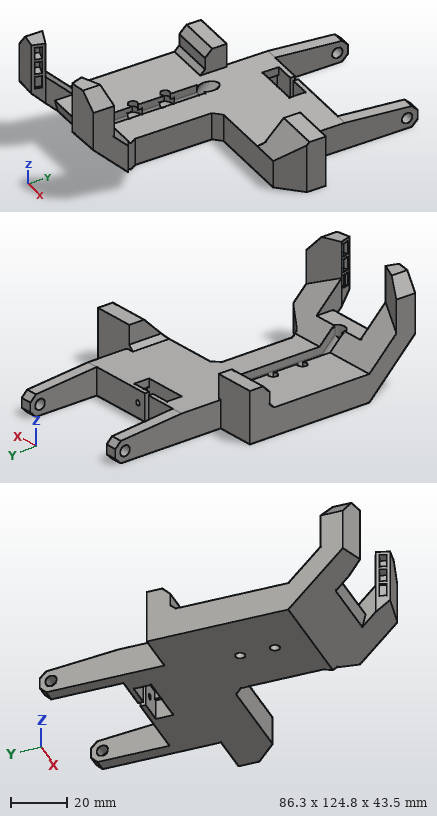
import cadquery as cq
import math


total_width = 86.3
total_length = 124.8
total_height = 43.5

plate_thickness = 11.3
ramp_start_y = 22.8
plate_back_y = 94.7
shoulder_y = 77.0
neck_left_x = 16.6
neck_right_x = 69.8
body_right_x = 40.3
finger_right_x = 51.3
flank_knee_x = 42.7
flank_knee_y = 21.5
inner_corner_chamfer = 3.0

bay_left_x = 13.2
bay_right_x = 38.1
bay_back_y = 16.3
bay_floor_z = 17.8
bay_lip_y = 8.7
bay_lip_lower_y = 10.0

clip_tip_x = 11.6
clip_outer_front_y = 1.9
clip_outer_back_y = 10.5
clip_inner_back_y = 4.9
clip_chamfer_width = 5.7
clip_chamfer_height = 6.6

pocket_width = 2.7
pocket_height = 5.0
pocket_pitch = 6.2
first_pocket_z = 27.3
pocket_depths = (1.0, 4.0, 4.0)

jaw_top_z = 21.1
jaw_foot_z = 13.3
left_jaw_width = 17.8
left_jaw_top_y = 71.0
left_jaw_face_y = 68.0
right_jaw_left_x = 68.5
right_jaw_front_y = 60.4
right_jaw_corner = 8.7

arm_width = 5.0
arm_tip_height = 8.9
arm_tip_chamfer = 2.5
arm_hole_diameter = 4.3
arm_hole_setback = 4.4
arm_hole_z = 4.4

slot_left_x = 27.4
slot_right_x = 46.0
slot_front_y = 86.0
slot_back_y = 92.7
slot_neck_left_x = 35.4
slot_neck_right_x = 37.5
slot_undercut = 1.1
slot_undercut_z = 7.9
pin_hole_diameter = 2.0
pin_hole_x = 41.5
pin_hole_z = 6.0

channel_x = 25.25
channel_radius = 3.0
channel_depth = 6.0
channel_front_y = 21.7
channel_back_y = 62.0
channel_end_y = 16.0

screw_x = 20.9
screw_ys = (36.4, 49.7)
screw_diameter = 3.6
screw_head_diameter = 6.6
screw_head_top_z = 9.0
screw_cone_top_z = 5.5


def box(x0, x1, y0, y1, z0, z1):
    return cq.Workplane("XY").box(x1 - x0, y1 - y0, z1 - z0, centered=False).translate((x0, y0, z0))


def side_prism(points, x0, x1):
    """Outline in (y, z) extruded from x0 to x1."""
    return cq.Workplane("YZ").polyline(points).close().extrude(x1 - x0).translate((x0, 0, 0))


def plan_prism(points, height):
    return cq.Workplane("XY").polyline(points).close().extrude(height)


def front_prism(points):
    """Outline in (x, z) extruded over the whole length."""
    return cq.Workplane("XZ").polyline(points).close().extrude(-total_length)


def make_plate():
    c = inner_corner_chamfer
    outline = [
        (0, ramp_start_y),
        (0, shoulder_y),
        (neck_left_x, shoulder_y),
        (neck_left_x, plate_back_y),
        (neck_right_x, plate_back_y),
        (neck_right_x, right_jaw_front_y),
        (body_right_x + c, right_jaw_front_y),
        (body_right_x, right_jaw_front_y - c),
        (body_right_x, ramp_start_y),
    ]
    return plan_prism(outline, plate_thickness)


def make_ramp():
    """45 degree slab overlapping the plate, with a level-floored bay between the clips."""
    slab_back_y = ramp_start_y + inner_corner_chamfer
    bay_lip_lower_z = ramp_start_y - bay_lip_lower_y
    slab = side_prism(
        [
            (slab_back_y, 0),
            (slab_back_y, plate_thickness),
            (ramp_start_y, plate_thickness),
            (0, ramp_start_y + plate_thickness),
            (0, ramp_start_y),
            (ramp_start_y, 0),
        ],
        0,
        finger_right_x,
    )
    outline = [
        (0, slab_back_y),
        (body_right_x, slab_back_y),
        (flank_knee_x, flank_knee_y),
        (finger_right_x, bay_back_y),
        (finger_right_x, clip_outer_back_y),
        (bay_right_x, clip_inner_back_y),
        (bay_left_x, clip_inner_back_y),
        (0, clip_outer_back_y),
    ]
    slab = slab.intersect(plan_prism(outline, total_height))
    bay = side_prism(
        [
            (bay_back_y, total_height),
            (bay_back_y, bay_floor_z),
            (bay_lip_y, bay_floor_z),
            (bay_lip_lower_y, bay_lip_lower_z),
            (0, bay_lip_lower_z),
            (0, total_height),
        ],
        bay_left_x,
        bay_right_x,
    )
    return slab.cut(bay)


def make_left_clip():
    """Upright clip with a sloped outer corner and pockets in its inner face."""
    clip = plan_prism(
        [
            (0, clip_outer_front_y),
            (clip_tip_x, 0),
            (bay_left_x, clip_inner_back_y),
            (0, clip_outer_back_y),
        ],
        total_height,
    )
    envelope = front_prism(
        [
            (0, 0),
            (bay_left_x, 0),
            (bay_left_x, total_height),
            (clip_chamfer_width, total_height),
            (0, total_height - clip_chamfer_height),
        ]
    )
    below_ramp = side_prism([(0, 0), (ramp_start_y, 0), (0, ramp_start_y)], 0, bay_left_x)
    clip = clip.intersect(envelope).cut(below_ramp)
    face_angle = math.degrees(math.atan2(clip_inner_back_y, bay_left_x - clip_tip_x)) - 90
    for i, depth in enumerate(pocket_depths):
        z = first_pocket_z + i * pocket_pitch
        pocket = cq.Workplane("XY").box(2 * depth, pocket_width, pocket_height)
        pocket = pocket.rotate((0, 0, 0), (0, 0, 1), face_angle)
        clip = clip.cut(pocket.translate(((clip_tip_x + bay_left_x) / 2, clip_inner_back_y / 2, z)))
    return clip


def make_clips():
    left = make_left_clip()
    right = left.mirror("YZ").translate((finger_right_x, 0, 0))
    return left.union(right)


def make_left_jaw():
    top_drop = left_jaw_top_y - left_jaw_face_y
    foot = jaw_foot_z - plate_thickness
    return side_prism(
        [
            (shoulder_y, 0),
            (shoulder_y, jaw_top_z),
            (left_jaw_top_y, jaw_top_z),
            (left_jaw_face_y, jaw_top_z - top_drop),
            (left_jaw_face_y, jaw_foot_z),
            (left_jaw_face_y - foot, plate_thickness),
            (left_jaw_face_y - foot, 0),
        ],
        0,
        left_jaw_width,
    )


def make_right_jaw():
    foot = jaw_foot_z - plate_thickness
    slope_run = jaw_top_z - plate_thickness
    jaw = front_prism(
        [
            (right_jaw_left_x - foot, 0),
            (right_jaw_left_x - foot, plate_thickness),
            (right_jaw_left_x, jaw_foot_z),
            (right_jaw_left_x, jaw_top_z),
            (total_width, jaw_top_z),
            (total_width, 0),
        ]
    )
    profile = side_prism(
        [
            (shoulder_y, 0),
            (shoulder_y, jaw_top_z),
            (right_jaw_front_y + slope_run, jaw_top_z),
            (right_jaw_front_y, plate_thickness),
            (right_jaw_front_y, 0),
        ],
        0,
        total_width,
    )
    corner = plan_prism(
        [
            (total_width, right_jaw_front_y),
            (total_width, right_jaw_front_y + right_jaw_corner),
            (total_width - right_jaw_corner, right_jaw_front_y),
        ],
        jaw_top_z,
    )
    return jaw.intersect(profile).cut(corner)


def make_arm(x0):
    c = arm_tip_chamfer
    arm = side_prism(
        [
            (plate_back_y, 0),
            (plate_back_y, plate_thickness),
            (total_length - c, arm_tip_height),
            (total_length, arm_tip_height - c),
            (total_length, c),
            (total_length - c, 0),
        ],
        x0,
        x0 + arm_width,
    )
    hole = cq.Workplane("YZ").circle(arm_hole_diameter / 2).extrude(arm_width)
    return arm.cut(hole.translate((x0, total_length - arm_hole_setback, arm_hole_z)))


def make_slot():
    slot = box(slot_left_x, slot_right_x, slot_front_y, slot_back_y, 0, plate_thickness)
    undercut = box(
        slot_left_x - slot_undercut,
        slot_right_x + slot_undercut,
        slot_front_y,
        slot_back_y,
        0,
        slot_undercut_z,
    )
    neck = box(slot_neck_left_x, slot_neck_right_x, slot_back_y, plate_back_y, 0, plate_thickness)
    pin_hole = cq.Workplane("XZ").circle(pin_hole_diameter / 2).extrude(slot_back_y - plate_back_y)
    pin_hole = pin_hole.translate((pin_hole_x, slot_back_y, pin_hole_z))
    return slot.union(undercut).union(neck).union(pin_hole)


def make_channel():
    """Round-bottomed channel whose ends rise at the ramp slope, open straight up above its axis."""
    r = channel_radius
    axis_z = plate_thickness - channel_depth + r
    start_y = channel_end_y
    start_z = axis_z + channel_front_y - channel_end_y
    back_rise = 2 * channel_depth
    path = cq.Workplane("YZ").polyline(
        [
            (start_y, start_z),
            (channel_front_y, axis_z),
            (channel_back_y, axis_z),
            (channel_back_y + back_rise, axis_z + back_rise),
        ]
    )
    end_plane = cq.Plane(origin=(0, start_y, start_z), xDir=(1, 0, 0), normal=(0, 1, -1))
    tube = cq.Workplane(end_plane).circle(r).sweep(path, transition="right")
    open_top = side_prism(
        [
            (start_y, start_z),
            (channel_front_y, axis_z),
            (channel_back_y, axis_z),
            (channel_back_y, plate_thickness),
            (channel_front_y, start_z + r),
            (start_y, start_z + r),
        ],
        -r,
        r,
    )
    end_disc = cq.Face.makeFromWires(cq.Workplane(end_plane).circle(r).wires().val())
    end_shaft = cq.Solid.extrudeLinear(end_disc, cq.Vector(0, 0, channel_depth))
    return tube.union(open_top).union(cq.Workplane(end_shaft)).translate((channel_x, 0, 0))


def make_screw_hole(y):
    """Through hole with a countersunk head space that opens into the channel."""
    half = screw_diameter / 2
    head = screw_head_diameter / 2
    profile = [
        (0, 0),
        (half, 0),
        (half, screw_cone_top_z - (head - half)),
        (head, screw_cone_top_z),
        (head, screw_head_top_z),
        (half, screw_head_top_z),
        (half, plate_thickness),
        (0, plate_thickness),
    ]
    hole = cq.Workplane("XZ").polyline(profile).close().revolve(360, (0, 0), (0, 1))
    return hole.translate((screw_x, y, 0))


result = make_plate().union(make_ramp()).union(make_clips())
result = result.union(make_left_jaw()).union(make_right_jaw())
for arm_x in (neck_left_x, neck_right_x - arm_width):
    result = result.union(make_arm(arm_x))
result = result.cut(make_slot()).cut(make_channel())
for screw_y in screw_ys:
    result = result.cut(make_screw_hole(screw_y))